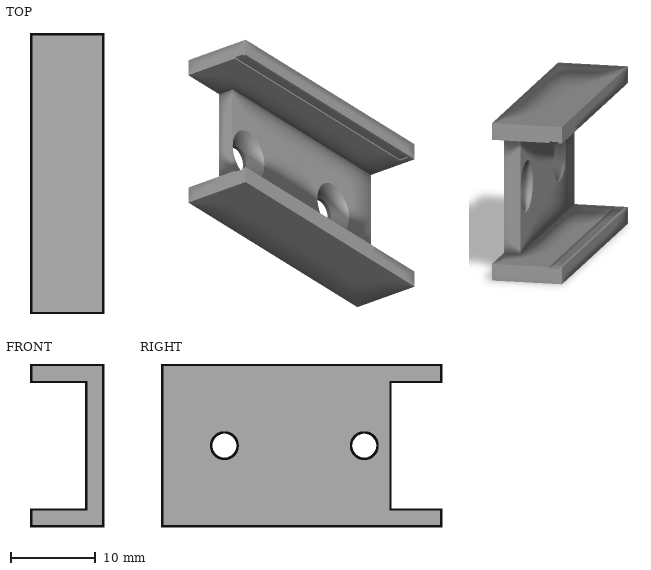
import cadquery as cq

width = 8.5
length = 32.9
height = 19.0
wall = 2.0
flange_overhang = 6.0

hole_diameter = 3.1
countersink_diameter = 6.15
countersink_angle = 90.0
hole_spacing = 16.48
end_hole_margin = 3.1

groove_width = 1.2
groove_depth = 0.15
groove_lip = 0.4
groove_end_margin = 0.82

front = -length / 2
web_end = length / 2 - flange_overhang
web_inner = width / 2 - wall
inner_half_height = height / 2 - wall


def make_channel():
    """C-shaped channel with the web cut back between the flanges."""
    inner_height = 2 * inner_half_height
    channel = cq.Workplane("XY").box(width, length, height)
    cavity = cq.Workplane("XY").box(width, length, inner_height).translate((-wall, 0, 0))
    web_relief = (
        cq.Workplane("XY")
        .box(width, flange_overhang, inner_height)
        .translate((0, web_end + flange_overhang / 2, 0))
    )
    return channel.cut(cavity).cut(web_relief)


def cut_holes(body):
    """Holes through the web, countersunk from inside the channel."""
    last_hole = web_end - end_hole_margin
    plane = cq.Plane(origin=(web_inner, 0, 0), xDir=(0, -1, 0), normal=(-1, 0, 0))
    return (
        body.copyWorkplane(cq.Workplane(plane))
        .pushPoints([(-last_hole, 0), (hole_spacing - last_hole, 0)])
        .cskHole(hole_diameter, countersink_diameter, countersink_angle, depth=wall)
    )


def cut_grooves(body):
    """Matching grooves near the free edges of both flanges."""
    groove_length = length - groove_end_margin
    groove_x = -width / 2 + groove_lip + groove_width / 2
    groove_y = front + groove_end_margin + groove_length / 2
    for side in (-1, 1):
        groove_z = side * (inner_half_height + groove_depth / 2)
        groove = (
            cq.Workplane("XY")
            .box(groove_width, groove_length, groove_depth)
            .translate((groove_x, groove_y, groove_z))
        )
        body = body.cut(groove)
    return body


result = cut_grooves(cut_holes(make_channel()))